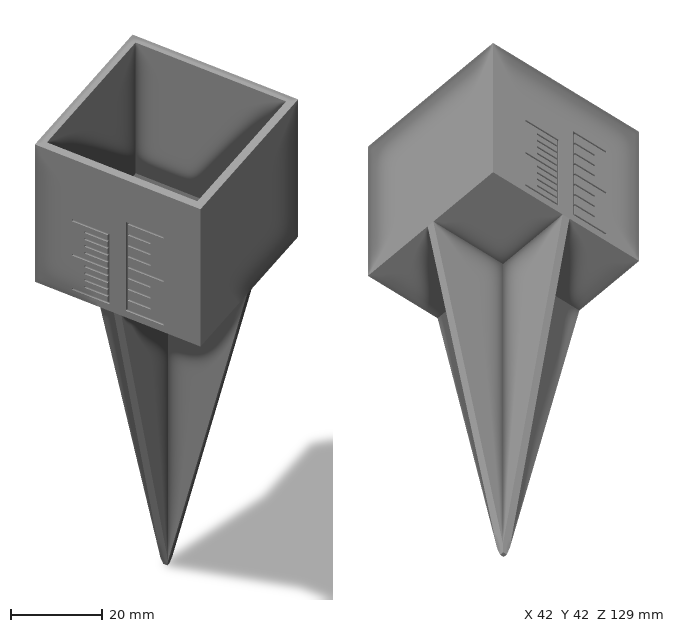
import cadquery as cq

total_height = 129.0
cup_width = 42.0
cup_height = 40.1
wall = 1.9
cup_base_z = total_height - cup_height
floor_top_z = cup_base_z + wall

tip_width = 1.0

groove_width = 0.5
groove_depth = 0.5
scale_offset = 2.0
short_tick_end = 8.4
long_tick_end = 11.6
inch = 25.4
centimetres_per_inch = 2.54
centimetre = inch / centimetres_per_inch
ticks_per_centimetre = 5
inch_scale_length = inch
centimetre_scale_length = 2 * centimetre
ticks_per_half_inch = 4


def groove(x_start, x_end, z_start, z_end):
    """Cutter for a straight groove in the front face of the cup."""
    return cq.Workplane("XY").box(
        x_end - x_start, groove_depth, z_end - z_start, centered=False
    ).translate((x_start, -cup_width / 2, z_start))


def scale_cutter(length, long_spacing, ticks_per_long):
    """Spine with ticks to its +X side; zero is level with the cup floor."""
    tick_spacing = long_spacing / ticks_per_long
    tick_count = round(length / tick_spacing) + 1
    cutter = groove(scale_offset, scale_offset + groove_width,
                    floor_top_z, floor_top_z + length + groove_width)
    for index in range(tick_count):
        tick_end = long_tick_end if index % ticks_per_long == 0 else short_tick_end
        tick_z = floor_top_z + index * tick_spacing
        cutter = cutter.union(groove(scale_offset, tick_end, tick_z, tick_z + groove_width))
    return cutter


def make_cup():
    """Square open-topped cup with an inch scale and a centimetre scale."""
    inner_width = cup_width - 2 * wall
    cup = (
        cq.Workplane("XY").workplane(offset=cup_base_z)
        .rect(cup_width, cup_width).extrude(cup_height)
    )
    cavity = (
        cq.Workplane("XY").workplane(offset=floor_top_z)
        .rect(inner_width, inner_width).extrude(cup_height - wall)
    )
    inch_scale = scale_cutter(inch_scale_length, inch / 2, ticks_per_half_inch)
    centimetre_scale = scale_cutter(
        centimetre_scale_length, centimetre, ticks_per_centimetre
    ).mirror("YZ")
    return cup.cut(cavity).cut(inch_scale).cut(centimetre_scale)


def make_spike():
    """Two crossed blades trimmed to a pyramid that narrows to a blunt tip."""
    pyramid = (
        cq.Workplane("XY").rect(tip_width, tip_width)
        .workplane(offset=cup_base_z).rect(cup_width, cup_width)
        .loft(ruled=True)
    )
    blade_along_x = cq.Workplane("XY").rect(cup_width, wall).extrude(cup_base_z)
    blade_along_y = cq.Workplane("XY").rect(wall, cup_width).extrude(cup_base_z)
    return blade_along_x.union(blade_along_y).intersect(pyramid)


cup = make_cup()
spike = make_spike()
result = cq.Compound.makeCompound([cup.val(), spike.val()])